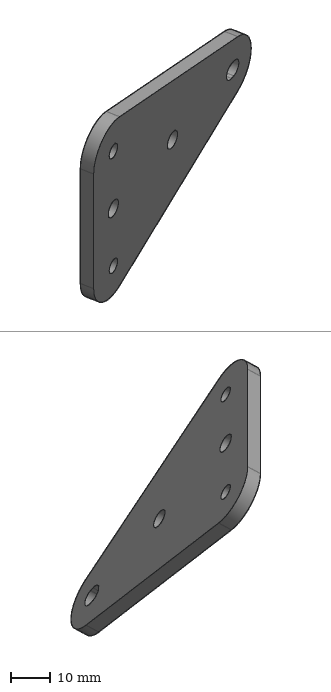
import cadquery as cq
import math

thickness = 4.0
length = 80.0
height = 60.0
corner_radius = 10.0
small_hole_diameter = 4.2
large_hole_diameter = 5.1
slot_length = 6.2
slot_offset = 0.55

tip_y = length / 2 - corner_radius
base_y = -tip_y
base_z = height / 2 - corner_radius
slot_y = tip_y + slot_offset

normal_angle = math.atan2(tip_y - base_y, base_z)
normal_y = corner_radius * math.cos(normal_angle)
normal_z = corner_radius * math.sin(normal_angle)

base_mid_angle = (normal_angle + math.pi) / 2
base_mid_y = base_y + corner_radius * math.cos(base_mid_angle)
base_mid_z = base_z + corner_radius * math.sin(base_mid_angle)


def make_plate():
    """Triangular plate with tangent rounded corners, centred on X = 0."""
    return (
        cq.Workplane("YZ")
        .moveTo(-length / 2, -base_z)
        .lineTo(-length / 2, base_z)
        .threePointArc((base_mid_y, base_mid_z), (base_y + normal_y, base_z + normal_z))
        .lineTo(tip_y + normal_y, normal_z)
        .threePointArc((length / 2, 0), (tip_y + normal_y, -normal_z))
        .lineTo(base_y + normal_y, -base_z - normal_z)
        .threePointArc((base_mid_y, -base_mid_z), (-length / 2, -base_z))
        .close()
        .extrude(thickness / 2, both=True)
    )


def make_holes(diameter, centres):
    """Cutters for round through holes at the given (Y, Z) centres."""
    return (
        cq.Workplane("YZ")
        .pushPoints(centres)
        .circle(diameter / 2)
        .extrude(thickness, both=True)
    )


def make_slot():
    """Cutter for the short through slot lying along Y near the tip."""
    return (
        cq.Workplane("YZ")
        .center(slot_y, 0)
        .slot2D(slot_length, large_hole_diameter)
        .extrude(thickness, both=True)
    )


small_hole_centres = [(base_y, -base_z), (base_y, base_z)]
large_hole_centres = [(base_y, 0), (0, 0)]

result = (
    make_plate()
    .cut(make_holes(small_hole_diameter, small_hole_centres))
    .cut(make_holes(large_hole_diameter, large_hole_centres))
    .cut(make_slot())
)